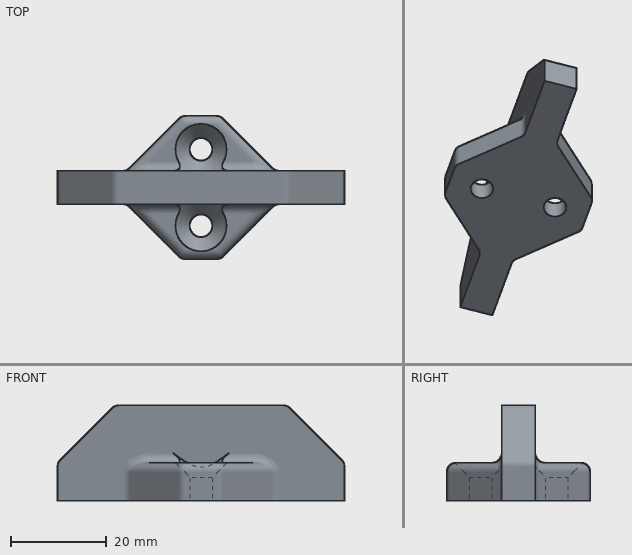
import cadquery as cq

length = 60.0
height = 20.0
wall_thickness = 7.0
shoulder = 12.0

flange_width = 30.0
flange_height = 8.0
flange_end_half = 4.0
round_radius = 2.0

hole_diameter = 4.7
hole_offset = 8.0
sink_diameter = 10.7

half_wall = wall_thickness / 2
cove_top = flange_height + round_radius
flange_half_length = flange_end_half + flange_width / 2
tolerance = 0.005


def make_wall():
    half = length / 2
    outline = [
        (-half, 0),
        (half, 0),
        (half, height - shoulder),
        (half - shoulder, height),
        (shoulder - half, height),
        (-half, height - shoulder),
    ]
    wall = cq.Workplane("XZ").polyline(outline).close().extrude(half_wall, both=True)
    return wall.edges("|Y and (not <Z)").fillet(round_radius)


def make_flange():
    half = flange_width / 2
    outline = [
        (flange_half_length, 0),
        (flange_end_half, half),
        (-flange_end_half, half),
        (-flange_half_length, 0),
        (-flange_end_half, -half),
        (flange_end_half, -half),
    ]
    block = cq.Workplane("XY").polyline(outline).close().extrude(flange_height)
    block = block.edges("|Z and (>Y or <Y)").fillet(round_radius)
    return block.faces(">Z").edges().fillet(round_radius)


def add_cove(body):
    joint_edges = cq.Workplane()
    for y in (-half_wall, half_wall):
        joint_zone = cq.selectors.BoxSelector(
            (-flange_half_length, y - tolerance, tolerance),
            (flange_half_length, y + tolerance, cove_top),
        )
        joint_edges = joint_edges.add(body.edges(joint_zone))
    return body.newObject(joint_edges.vals()).fillet(round_radius)


def make_screw_cutter(y):
    hole_radius = hole_diameter / 2
    sink_radius = sink_diameter / 2
    cone_bottom = flange_height - (sink_radius - hole_radius)
    profile = [
        (0, 0),
        (hole_radius, 0),
        (hole_radius, cone_bottom),
        (sink_radius + round_radius, cove_top),
        (0, cove_top),
    ]
    return (
        cq.Workplane("XZ").polyline(profile).close()
        .revolve(360, (0, 0), (0, 1))
        .translate((0, y, 0))
    )


wall = make_wall()
result = add_cove(wall.union(make_flange()))
for y in (-hole_offset, hole_offset):
    result = result.cut(make_screw_cutter(y).cut(wall))